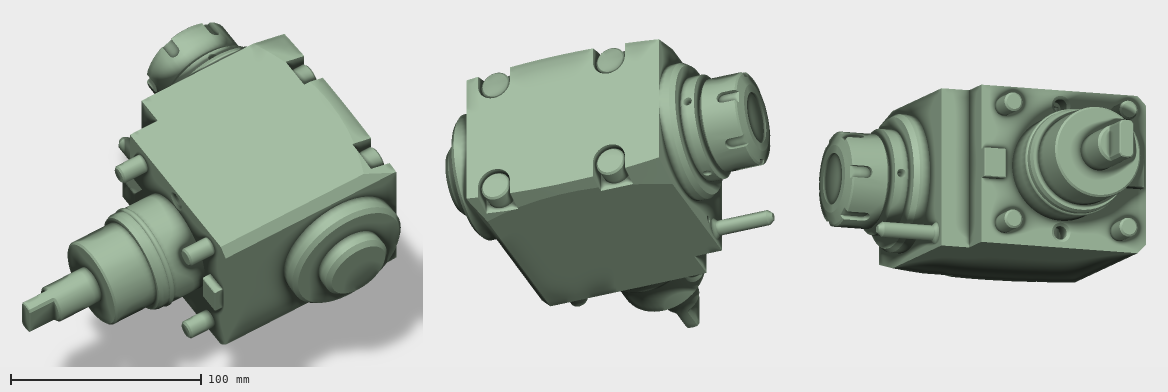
import cadquery as cq
import math


BLOCK_LEFT = -60.8
BLOCK_RIGHT = 48.0
BLOCK_BACK = 106.5
BLOCK_HEIGHT = 84.0
BLOCK_HALF_HEIGHT = BLOCK_HEIGHT / 2
STEP_X = -45.1
STEP_Y = 17.2
SIDE_CHAMFER = 4.8

CROWN_RADIUS = 451.1
CROWN_SLOPE = 15.0
CROWN_DROP = 1.8

SPINDLE_Y = 70.0
FLANGE_RADIUS = 36.5
FLANGE_FRONT = -69.2
FLANGE_CHAMFER_LENGTH = 2.8
FLANGE_CHAMFER_HEIGHT = 1.8
RING_RADIUS = 28.0
RING_FRONT = -77.2
RING_BACK = -70.0
RING_GROOVE_RADIUS = 27.5
RING_HOLE_COUNT = 4
RING_HOLE_RADIUS = 2.5
RING_HOLE_TIP_RADIUS = 0.8
RING_HOLE_DEPTH = 3.0
NECK_RADIUS = 20.5
COVER_RADIUS = 33.9
COVER_END = 58.5
COVER_CHAMFER = 2.2
CAP_RADIUS = 19.0
CAP_END = 68.0
CAP_CHAMFER = 2.5

NUT_FRONT = -101.5
NUT_BACK = -79.4
NUT_RADIUS = 25.0
NUT_FACE_RADIUS = 17.8
NUT_CONE_RADIUS = 24.0
NUT_CONE_LENGTH = 1.8
NUT_EDGE = 0.8
NUT_APERTURE_RADIUS = 13.6
NUT_RECESS = 1.5
NUT_LIP = 5.0
NUT_SLOT_COUNT = 6
NUT_SLOT_WIDTH = 6.5
NUT_SLOT_FLOOR = 22.0
NUT_SLOT_END = -88.8
NUT_LONG_SLOT_END = -85.5
NUT_LONG_SLOT_INDEX = 4

SHANK_RADIUS = 27.7
SEAL_START = -18.8
SEAL_END = -22.0
SEAL_RADIUS = 28.5
SEAL_FOOT_RADIUS = 27.3
COLLAR_CHAMFER_START = -25.7
COLLAR_END = -28.0
COLLAR_END_RADIUS = 26.7
PILOT_RADIUS = 24.0
PILOT_END = -53.1
PILOT_CHAMFER = 1.0
SHAFT_RADIUS = 10.0
SHAFT_END = -94.0
TANG_START = -79.0
TANG_THICKNESS = 8.0
TANG_EDGE = 0.6
TANG_SIDE_CHAMFER = 1.2

SCREW_X = 32.5
SCREW_Z = 31.3
SCREW_RADIUS = 5.0
SCREW_LENGTH = 15.0
SCREW_CHAMFER = 1.0
HEAD_RADIUS = 8.0
HEAD_HEIGHT = 10.0
HEAD_CHAMFER = 1.0
COUNTERBORE_RADIUS = 9.0
COUNTERBORE_DEPTH = 11.6

KEY_OUTER_X = -STEP_X
KEY_LENGTH = 12.0
KEY_WIDTH = 15.5
KEY_HEIGHT = 5.0
KEY_CHAMFER = 0.5

PORT_Z = 33.9
PORT_MOUTH_RADIUS = 5.2
PORT_RADIUS = 3.6
PORT_MOUTH_DEPTH = 1.2
PORT_DEPTH = 10.0
CHANNEL_RADIUS = 2.6
CHANNEL_OVERRUN = 1.2
CHANNEL_LENGTH = 8.0
NOZZLE_Y = 26.3
NOZZLE_Z = -33.9
NOZZLE_RADIUS = 4.0
NOZZLE_FOOT_RADIUS = 5.8
NOZZLE_FOOT_LENGTH = 1.8
NOZZLE_TIP = -93.5
NOZZLE_TIP_LENGTH = 2.6
NOZZLE_TIP_RADIUS = 2.0
OUTLET_Y = 36.3
OUTLET_RADIUS = 2.0
OUTLET_DEPTH = 6.0


def turned_along_x(profile, axis_y, axis_z=0.0):
    """Revolve (x, radius) points about an axis parallel to X."""
    plane = cq.Workplane("XY", origin=(0, axis_y, axis_z))
    return plane.polyline(profile).close().revolve(360, (0, 0, 0), (1, 0, 0))


def turned_along_y(profile, axis_x=0.0, axis_z=0.0):
    """Revolve (radius, y) points about an axis parallel to Y."""
    plane = cq.Workplane("XY", origin=(axis_x, 0, axis_z))
    return plane.polyline(profile).close().revolve(360, (0, 0, 0), (0, 1, 0))


def crown(side):
    """Large cylinder whose upper (side = 1) or lower (side = -1) surface bounds the block."""
    middle_x = (BLOCK_LEFT + BLOCK_RIGHT) / 2
    slope = math.radians(CROWN_SLOPE)
    crest_z = BLOCK_HALF_HEIGHT - CROWN_DROP
    axis = cq.Vector(0, math.cos(slope), -side * math.sin(slope))
    centre = cq.Vector(
        middle_x,
        BLOCK_BACK - CROWN_RADIUS * math.sin(slope),
        side * (crest_z - CROWN_RADIUS * math.cos(slope)),
    )
    start = centre - axis * CROWN_RADIUS
    return cq.Workplane(cq.Solid.makeCylinder(CROWN_RADIUS, 2 * CROWN_RADIUS, start, axis))


def make_block():
    outline = [
        (STEP_X, 0),
        (BLOCK_RIGHT, 0),
        (BLOCK_RIGHT, BLOCK_BACK),
        (BLOCK_LEFT, BLOCK_BACK),
        (BLOCK_LEFT, STEP_Y),
        (STEP_X, STEP_Y),
    ]
    block = cq.Workplane("XY").polyline(outline).close().extrude(BLOCK_HALF_HEIGHT, both=True)
    block = block.faces(">X").edges("|Y").chamfer(SIDE_CHAMFER)
    return block.intersect(crown(1)).intersect(crown(-1))


def make_spindle():
    """Flange, ring and neck, with a nose that fills the nut up to a shallow recess."""
    profile = [
        (NUT_FRONT + NUT_RECESS, 0),
        (NUT_FRONT + NUT_RECESS, NUT_APERTURE_RADIUS),
        (NUT_FRONT + NUT_LIP, NUT_APERTURE_RADIUS),
        (NUT_FRONT + NUT_LIP, NECK_RADIUS),
        (RING_FRONT, NECK_RADIUS),
        (RING_FRONT, RING_RADIUS),
        (RING_BACK, RING_RADIUS),
        (RING_BACK, RING_GROOVE_RADIUS),
        (FLANGE_FRONT, RING_GROOVE_RADIUS),
        (FLANGE_FRONT, FLANGE_RADIUS - FLANGE_CHAMFER_HEIGHT),
        (FLANGE_FRONT + FLANGE_CHAMFER_LENGTH, FLANGE_RADIUS),
        (BLOCK_LEFT, FLANGE_RADIUS),
        (BLOCK_LEFT, 0),
    ]
    return turned_along_x(profile, SPINDLE_Y)


def make_ring_holes():
    hole_x = (RING_FRONT + RING_BACK) / 2
    holes = cq.Workplane("XY")
    for index in range(RING_HOLE_COUNT):
        angle = math.radians(index * 360 / RING_HOLE_COUNT)
        outward = cq.Vector(0, math.cos(angle), math.sin(angle))
        floor = cq.Vector(hole_x, SPINDLE_Y, 0) + outward * (RING_RADIUS - RING_HOLE_DEPTH)
        cone = cq.Solid.makeCone(
            RING_HOLE_TIP_RADIUS, RING_HOLE_RADIUS, RING_HOLE_DEPTH, floor, outward
        )
        holes = holes.add(cone)
    return holes.combine()


def make_cover():
    profile = [
        (BLOCK_RIGHT, 0),
        (BLOCK_RIGHT, COVER_RADIUS),
        (COVER_END - COVER_CHAMFER, COVER_RADIUS),
        (COVER_END, COVER_RADIUS - COVER_CHAMFER),
        (COVER_END, CAP_RADIUS),
        (CAP_END - CAP_CHAMFER, CAP_RADIUS),
        (CAP_END, CAP_RADIUS - CAP_CHAMFER),
        (CAP_END, 0),
    ]
    return turned_along_x(profile, SPINDLE_Y)


def make_shank():
    shank = (
        cq.Workplane("XY")
        .moveTo(0, 0)
        .lineTo(SHANK_RADIUS, 0)
        .lineTo(SHANK_RADIUS, SEAL_START)
        .threePointArc((SEAL_RADIUS, (SEAL_START + SEAL_END) / 2), (SEAL_FOOT_RADIUS, SEAL_END))
        .lineTo(SHANK_RADIUS, SEAL_END)
        .lineTo(SHANK_RADIUS, COLLAR_CHAMFER_START)
        .lineTo(COLLAR_END_RADIUS, COLLAR_END)
        .lineTo(PILOT_RADIUS, COLLAR_END)
        .lineTo(PILOT_RADIUS, PILOT_END + PILOT_CHAMFER)
        .lineTo(PILOT_RADIUS - PILOT_CHAMFER, PILOT_END)
        .lineTo(0, PILOT_END)
        .close()
    )
    return shank.revolve(360, (0, 0, 0), (0, 1, 0))


def make_shaft():
    shaft = turned_along_y(
        [
            (0, PILOT_END),
            (SHAFT_RADIUS, PILOT_END),
            (SHAFT_RADIUS, SHAFT_END),
            (0, SHAFT_END),
        ]
    )
    tang_length = TANG_START - SHAFT_END
    for side in (-1, 1):
        relief_x = side * (TANG_THICKNESS / 2 + SHAFT_RADIUS / 2)
        relief = cq.Workplane("XY").box(SHAFT_RADIUS, tang_length, 2 * SHAFT_RADIUS)
        relief = relief.translate((relief_x, SHAFT_END + tang_length / 2, 0))
        root_side = "<X" if side > 0 else ">X"
        relief = relief.faces(root_side).edges(">Y").fillet(TANG_EDGE)
        shaft = shaft.cut(relief)
    for flat_face in (">X", "<X"):
        long_edges = shaft.faces("|X").faces(flat_face).edges("|Y")
        shaft = long_edges.chamfer(TANG_SIDE_CHAMFER)
    return shaft.faces("<Y").edges().chamfer(TANG_EDGE)


def screw_places():
    return [(x, z) for x in (-SCREW_X, SCREW_X) for z in (-SCREW_Z, SCREW_Z)]


def make_counterbore(x, z):
    """Screw head pocket with a round inner end, open at the back and at the near face of the block."""
    width = 2 * COUNTERBORE_RADIUS
    round_end = cq.Workplane("XZ", origin=(x, BLOCK_BACK, z)).circle(COUNTERBORE_RADIUS)
    pocket = round_end.extrude(COUNTERBORE_DEPTH)
    mouth = cq.Workplane("XY").box(width, COUNTERBORE_DEPTH, width)
    mouth_z = z + math.copysign(COUNTERBORE_RADIUS, z)
    return pocket.union(mouth.translate((x, BLOCK_BACK - COUNTERBORE_DEPTH / 2, mouth_z)))


def make_screw(x, z):
    head_bottom = BLOCK_BACK - COUNTERBORE_DEPTH
    head_top = head_bottom + HEAD_HEIGHT
    profile = [
        (0, -SCREW_LENGTH),
        (SCREW_RADIUS - SCREW_CHAMFER, -SCREW_LENGTH),
        (SCREW_RADIUS, SCREW_CHAMFER - SCREW_LENGTH),
        (SCREW_RADIUS, head_bottom),
        (HEAD_RADIUS, head_bottom),
        (HEAD_RADIUS, head_top - HEAD_CHAMFER),
        (HEAD_RADIUS - HEAD_CHAMFER, head_top),
        (0, head_top),
    ]
    return turned_along_y(profile, x, z)


def make_key(side):
    key = cq.Workplane("XY").box(KEY_LENGTH, KEY_HEIGHT, KEY_WIDTH)
    key = key.faces("<Y").edges().chamfer(KEY_CHAMFER)
    return key.translate((side * (KEY_OUTER_X - KEY_LENGTH / 2), -KEY_HEIGHT / 2, 0))


def make_coolant_port(side):
    """Countersunk blind bore that opens into a short channel towards the shaft."""
    profile = [
        (0, 0),
        (PORT_MOUTH_RADIUS, 0),
        (PORT_RADIUS, PORT_MOUTH_DEPTH),
        (PORT_RADIUS, PORT_DEPTH),
        (0, PORT_DEPTH),
    ]
    bore = turned_along_y(profile, 0, side * PORT_Z)
    channel_start = cq.Vector(0, PORT_DEPTH, side * (PORT_Z + CHANNEL_OVERRUN))
    inward = cq.Vector(0, 0, -side)
    channel = cq.Solid.makeCylinder(CHANNEL_RADIUS, CHANNEL_LENGTH, channel_start, inward)
    return bore.union(cq.Workplane(channel))


def make_nozzle():
    profile = [
        (BLOCK_LEFT, 0),
        (BLOCK_LEFT, NOZZLE_FOOT_RADIUS),
        (BLOCK_LEFT - NOZZLE_FOOT_LENGTH, NOZZLE_RADIUS),
        (NOZZLE_TIP + NOZZLE_TIP_LENGTH, NOZZLE_RADIUS),
        (NOZZLE_TIP, NOZZLE_TIP_RADIUS),
        (NOZZLE_TIP, 0),
    ]
    return turned_along_x(profile, NOZZLE_Y, NOZZLE_Z)


def make_outlet():
    profile = [
        (BLOCK_LEFT, 0),
        (BLOCK_LEFT, OUTLET_RADIUS),
        (BLOCK_LEFT + OUTLET_DEPTH, OUTLET_RADIUS),
        (BLOCK_LEFT + OUTLET_DEPTH, 0),
    ]
    return turned_along_x(profile, OUTLET_Y, NOZZLE_Z)


def make_housing():
    body = make_block()
    for x, z in screw_places():
        body = body.cut(make_counterbore(x, z))
    body = body.union(make_spindle()).union(make_cover())
    body = body.union(make_shank()).union(make_shaft())
    for x, z in screw_places():
        body = body.union(make_screw(x, z))
    for side in (-1, 1):
        body = body.union(make_key(side))
        body = body.cut(make_coolant_port(side))
    body = body.union(make_nozzle())
    return body.cut(make_outlet()).cut(make_ring_holes())


def make_nut_slot(index):
    """Flat-bottomed slot with a round end, open at the front of the nut."""
    end = NUT_LONG_SLOT_END if index == NUT_LONG_SLOT_INDEX else NUT_SLOT_END
    round_x = end - NUT_SLOT_WIDTH / 2
    half_width = NUT_SLOT_WIDTH / 2
    slot = (
        cq.Workplane("XY", origin=(0, 0, NUT_SLOT_FLOOR))
        .moveTo(NUT_FRONT, -half_width)
        .lineTo(round_x, -half_width)
        .threePointArc((end, 0), (round_x, half_width))
        .lineTo(NUT_FRONT, half_width)
        .close()
        .extrude(NUT_RADIUS)
    )
    angle = index * 360 / NUT_SLOT_COUNT - 90
    return slot.rotate((0, 0, 0), (1, 0, 0), angle).translate((0, SPINDLE_Y, 0))


def make_nut():
    cone_end = NUT_FRONT + NUT_CONE_LENGTH
    profile = [
        (NUT_FRONT, NUT_APERTURE_RADIUS),
        (NUT_FRONT, NUT_FACE_RADIUS),
        (cone_end, NUT_CONE_RADIUS),
        (cone_end + NUT_EDGE, NUT_RADIUS),
        (NUT_BACK - NUT_EDGE, NUT_RADIUS),
        (NUT_BACK, NUT_RADIUS - NUT_EDGE),
        (NUT_BACK, NECK_RADIUS),
        (NUT_FRONT + NUT_LIP, NECK_RADIUS),
        (NUT_FRONT + NUT_LIP, NUT_APERTURE_RADIUS),
    ]
    nut = turned_along_x(profile, SPINDLE_Y)
    for index in range(NUT_SLOT_COUNT):
        nut = nut.cut(make_nut_slot(index))
    return nut


housing = make_housing()
clamping_nut = make_nut()

result = cq.Compound.makeCompound([housing.solids().val(), clamping_nut.solids().val()])